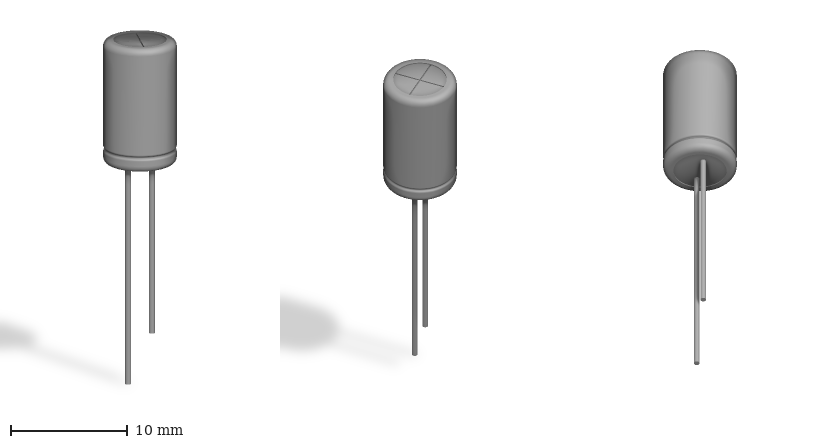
import cadquery as cq
import math


sleeve_diameter = 6.3
sleeve_height = 11.0
sleeve_wall = 0.1
flat_end_diameter = 5.17
opening_diameter = 4.55
edge_radius = (sleeve_diameter - flat_end_diameter) / 2

groove_height = 1.31
groove_depth = 0.19
groove_radius = 0.1
lip_radius = 0.2

score_width = 0.13
score_depth = 0.1
score_angles = (45, 135)

lead_diameter = 0.5
lead_pitch = 2.5
long_lead_length = 20.0
short_lead_length = 15.0


def crimped_cylinder(inset):
    """Rounded cylinder with the crimp groove, its whole surface moved inward by inset."""
    radius = sleeve_diameter / 2 - inset
    bottom = inset
    top = sleeve_height - inset

    edge = edge_radius - inset
    edge_sagitta = edge * (1 - math.sqrt(0.5))

    lip = lip_radius - inset
    groove = groove_radius + inset
    sweep = math.acos(1 - groove_depth / (lip + groove))
    half_groove = groove * math.sin(sweep)
    half_mouth = (lip + groove) * math.sin(sweep)
    half_lip_middle = half_mouth - lip * math.sin(sweep / 2)
    lip_middle_radius = radius - lip * (1 - math.cos(sweep / 2))
    lip_end_radius = radius - lip * (1 - math.cos(sweep))

    profile = (
        cq.Workplane("XZ")
        .moveTo(0, bottom)
        .lineTo(radius - edge, bottom)
        .threePointArc((radius - edge_sagitta, bottom + edge_sagitta), (radius, bottom + edge))
        .lineTo(radius, groove_height - half_mouth)
        .threePointArc(
            (lip_middle_radius, groove_height - half_lip_middle),
            (lip_end_radius, groove_height - half_groove),
        )
        .threePointArc(
            (radius - groove_depth, groove_height),
            (lip_end_radius, groove_height + half_groove),
        )
        .threePointArc(
            (lip_middle_radius, groove_height + half_lip_middle),
            (radius, groove_height + half_mouth),
        )
        .lineTo(radius, top - edge)
        .threePointArc((radius - edge_sagitta, top - edge_sagitta), (radius - edge, top))
        .lineTo(0, top)
        .close()
    )
    return profile.revolve(360, (0, 0, 0), (0, 1, 0))


def make_sleeve():
    """Thin shell folded over both ends of the can, with a round opening at each end."""
    openings = cq.Workplane("XY").circle(opening_diameter / 2).extrude(sleeve_height)
    return crimped_cylinder(0).cut(crimped_cylinder(sleeve_wall)).cut(openings)


def make_vent_score():
    """Two crossed channels that end at the edge of the sleeve opening."""
    score_floor = sleeve_height - sleeve_wall - score_depth
    floor_plane = cq.Workplane("XY").workplane(offset=score_floor)
    cross = cq.Workplane("XY")
    for angle in score_angles:
        channel = floor_plane.rect(sleeve_diameter, score_width).extrude(score_depth)
        cross = cross.add(channel.rotate((0, 0, 0), (0, 0, 1), angle))
    return cross.combine().intersect(floor_plane.circle(opening_diameter / 2).extrude(score_depth))


def make_lead(x, length):
    """Round lead from the can's bottom face down to the given length below the sleeve."""
    return (
        cq.Workplane("XY", origin=(x, 0, -length))
        .circle(lead_diameter / 2)
        .extrude(length + sleeve_wall)
    )


def make_capacitor():
    """Can with the vent score and both leads."""
    can = crimped_cylinder(sleeve_wall).cut(make_vent_score())
    long_lead = make_lead(-lead_pitch / 2, long_lead_length)
    short_lead = make_lead(lead_pitch / 2, short_lead_length)
    return can.union(long_lead).union(short_lead)


sleeve = make_sleeve()
capacitor = make_capacitor()

result = cq.Compound.makeCompound([*sleeve.solids().vals(), *capacitor.solids().vals()])